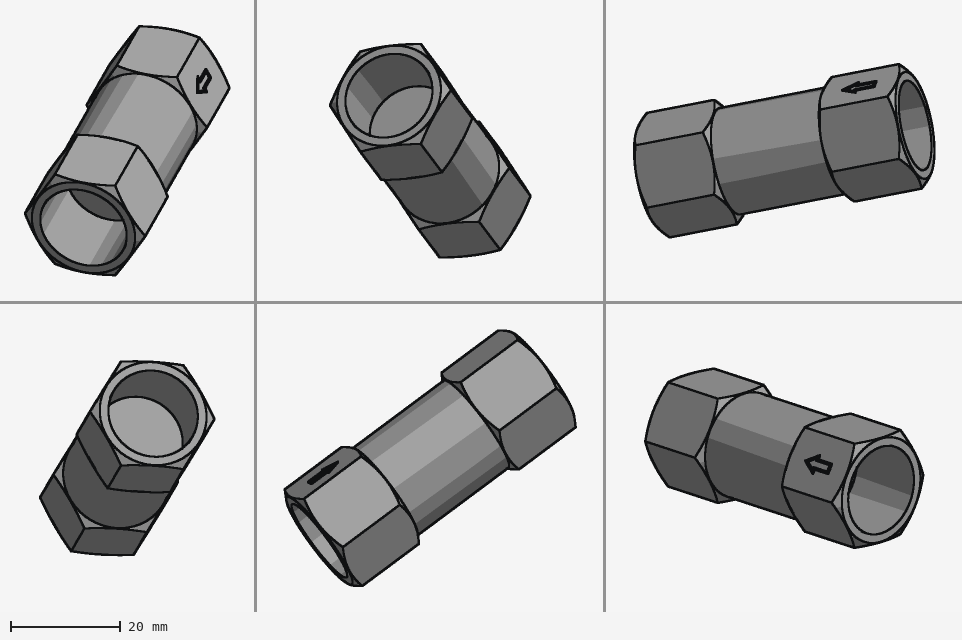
import cadquery as cq
import math

length = 51.0
across_flats = 20.0
nut_length = 15.0
body_diameter = 19.8
bore_diameter = 16.6
bore_depth = nut_length
chamfer_angle = 30.0
chamfer_face_diameter = 19.8

arrow_tail_y = 21.05
arrow_shoulder_y = 17.5
arrow_tip_y = 14.55
arrow_stem_width = 2.0
arrow_head_width = 3.6
arrow_line_width = 0.35
arrow_depth = 0.1

across_corners = across_flats / math.cos(math.radians(30))
corner_radius = across_corners / 2
chamfer_face_radius = chamfer_face_diameter / 2
chamfer_drop = (corner_radius - chamfer_face_radius) * math.tan(math.radians(chamfer_angle))


def along_y(start_y):
    """Workplane at start_y whose extrusions run toward +Y."""
    return cq.Workplane("XZ", origin=(0, start_y, 0)).transformed(rotate=(180, 0, 0))


def chamfered_nut(start_y):
    """Hexagonal nut with its corners turned to a cone at both ends."""
    end_y = start_y + nut_length
    hexagon = along_y(start_y).polygon(6, across_corners).extrude(nut_length)
    turned_envelope = (
        cq.Workplane("XY")
        .polyline([
            (0, start_y),
            (chamfer_face_radius, start_y),
            (corner_radius, start_y + chamfer_drop),
            (corner_radius, end_y - chamfer_drop),
            (chamfer_face_radius, end_y),
            (0, end_y),
        ])
        .close()
        .revolve(360, (0, 0, 0), (0, 1, 0))
    )
    return hexagon.intersect(turned_envelope)


def arrow_outline():
    """Arrow outline lying on the flat that faces +X and +Z."""
    flat_tilt = math.radians(60)
    normal = (math.sin(flat_tilt), 0, math.cos(flat_tilt))
    flat_center = tuple(across_flats / 2 * component for component in normal)
    flat_plane = cq.Plane(origin=flat_center, xDir=(0, 1, 0), normal=normal)
    half_stem = arrow_stem_width / 2
    half_head = arrow_head_width / 2
    return (
        cq.Workplane(flat_plane)
        .polyline([
            (arrow_tail_y, half_stem),
            (arrow_shoulder_y, half_stem),
            (arrow_shoulder_y, half_head),
            (arrow_tip_y, 0),
            (arrow_shoulder_y, -half_head),
            (arrow_shoulder_y, -half_stem),
            (arrow_tail_y, -half_stem),
        ])
        .close()
    )


def arrow_groove():
    """Shallow groove between the arrow outline and the same outline moved inward."""
    full_arrow = arrow_outline().extrude(-arrow_depth)
    island = arrow_outline().offset2D(-arrow_line_width, "intersection").extrude(-arrow_depth)
    return full_arrow.cut(island)


front_y = -length / 2
back_nut_y = length / 2 - nut_length

result = along_y(front_y).circle(body_diameter / 2).extrude(length)
for nut_y in (front_y, back_nut_y):
    result = result.union(chamfered_nut(nut_y))

for bore_y in (front_y, length / 2 - bore_depth):
    result = result.cut(along_y(bore_y).circle(bore_diameter / 2).extrude(bore_depth))

result = result.cut(arrow_groove())